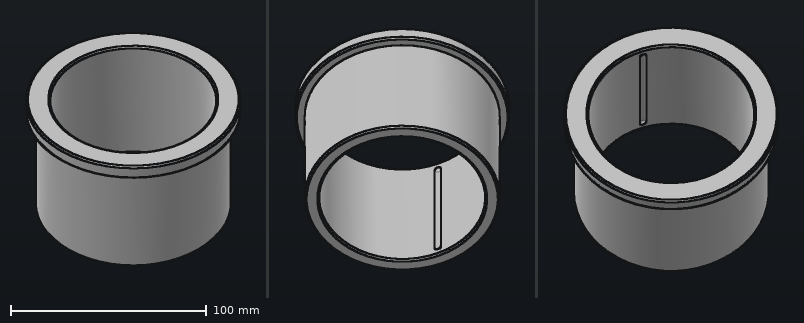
import cadquery as cq

total_height = 70.0
flange_diameter = 110.0
flange_thickness = 8.0
body_diameter = 100.0
bore_diameter = 85.0
edge_chamfer = 1.0
groove_diameter = 3.5
groove_depth = 1.5
groove_end_margin = 4.0

body_height = total_height - flange_thickness
groove_radius = groove_diameter / 2
groove_axis_offset = bore_diameter / 2 + groove_depth - groove_radius
groove_length = total_height - 2 * groove_end_margin


def make_sleeve():
    """Cylindrical body standing on Z = 0 with a flange at its top."""
    body = cq.Workplane("XY").circle(body_diameter / 2).extrude(body_height)
    flange = (
        cq.Workplane("XY")
        .workplane(offset=body_height)
        .circle(flange_diameter / 2)
        .extrude(flange_thickness)
    )
    return body.union(flange)


def chamfer_outer_edges(sleeve):
    """Break the foot of the body and both rims of the flange."""
    sleeve = sleeve.faces("<Z").edges().chamfer(edge_chamfer)
    flange_rims = cq.selectors.RadiusNthSelector(-1)
    return sleeve.edges(flange_rims).chamfer(edge_chamfer)


def cut_bore(sleeve):
    """Bore straight through, with a chamfered mouth at each end."""
    bore = cq.Workplane("XY").circle(bore_diameter / 2).extrude(total_height)
    bored = sleeve.cut(bore)
    bore_mouths = cq.selectors.RadiusNthSelector(0)
    return bored.edges(bore_mouths).chamfer(edge_chamfer)


def cut_oil_groove(sleeve):
    """Cut a round-bottomed, ball-ended groove along the +X side of the bore."""
    straight_start = groove_end_margin + groove_radius
    straight_length = groove_length - groove_diameter
    groove = (
        cq.Workplane("XY", origin=(groove_axis_offset, 0, straight_start))
        .circle(groove_radius)
        .extrude(straight_length)
    )
    for end_height in (straight_start, straight_start + straight_length):
        ball = cq.Workplane("XY", origin=(groove_axis_offset, 0, end_height)).sphere(groove_radius)
        groove = groove.union(ball)
    return sleeve.cut(groove)


sleeve = chamfer_outer_edges(make_sleeve())
result = cut_oil_groove(cut_bore(sleeve))